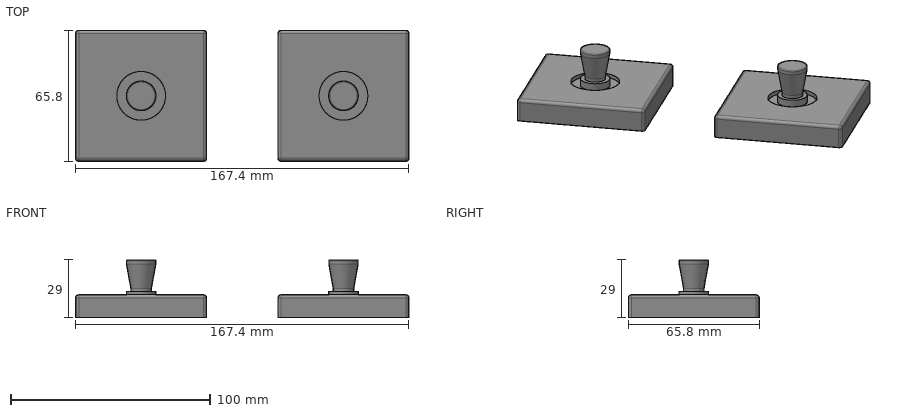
import cadquery as cq

overall_height = 29.01
block_spacing = 101.6
block_side = 65.79
block_height = 11.55
edge_radius = 1.6

recess_diameter = 24.5
recess_depth = 2.0

flange_diameter = 14.9
flange_top_z = 13.2
neck_diameter = 10.4
neck_top_z = 14.8
rim_diameter = 14.8
rim_height = 2.1
rim_edge_radius = 0.5

recess_floor_z = block_height - recess_depth
rim_bottom_z = overall_height - rim_height
block_centres_x = (-block_spacing / 2, block_spacing / 2)


def make_block(centre_x):
    """Square block with rounded side and top edges and a round recess in its top."""
    block = cq.Workplane("XY").box(block_side, block_side, block_height, centered=(True, True, False))
    block = block.edges("|Z or >Z").fillet(edge_radius)
    recess = (
        cq.Workplane("XY")
        .workplane(offset=recess_floor_z)
        .circle(recess_diameter / 2)
        .extrude(recess_depth)
    )
    return block.cut(recess).translate((centre_x, 0, 0))


def make_knob(centre_x):
    """Turned knob standing on the recess floor: flange, neck, flared grip and rounded rim."""
    flange_radius = flange_diameter / 2
    neck_radius = neck_diameter / 2
    rim_radius = rim_diameter / 2
    knob = (
        cq.Workplane("XZ")
        .moveTo(0, recess_floor_z)
        .lineTo(flange_radius, recess_floor_z)
        .lineTo(flange_radius, flange_top_z)
        .lineTo(neck_radius, flange_top_z)
        .lineTo(neck_radius, neck_top_z)
        .lineTo(rim_radius, rim_bottom_z)
        .lineTo(rim_radius, overall_height)
        .lineTo(0, overall_height)
        .close()
        .revolve(360, (0, 0, 0), (0, 1, 0))
    )
    knob = knob.faces(">Z").edges().fillet(rim_edge_radius)
    return knob.translate((centre_x, 0, 0))


blocks = [make_block(x) for x in block_centres_x]
knobs = [make_knob(x) for x in block_centres_x]

result = cq.Compound.makeCompound([body.val() for body in blocks + knobs])